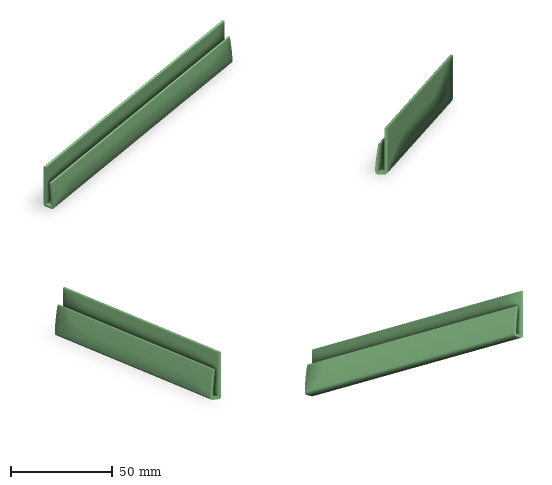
import cadquery as cq
import math

width = 6.1
length = 152.4
height = 24.1
wall = 1.4
corner_radius = 1.4

lip_height = 15.7
curl_start_height = 3.8
curl_middle_height = 9.8
curl_middle_inset = 0.62
curl_middle_thickness = 1.26
curl_end_inset = 1.48
curl_end_thickness = 1.0
tip_lean_degrees = 10.0

left = -width / 2
right = width / 2
bottom = -height / 2
top = height / 2
floor = bottom + wall

wall_tip_radius = wall / 2
lip_tip_radius = curl_end_thickness / 2

curl_start_z = bottom + curl_start_height
curl_middle_z = bottom + curl_middle_height
middle_outer_x = right - curl_middle_inset
middle_inner_x = middle_outer_x - curl_middle_thickness

tip_lean = math.radians(tip_lean_degrees)
tip_shift_x = lip_tip_radius * math.cos(tip_lean)
tip_shift_z = lip_tip_radius * math.sin(tip_lean)
tip_center_x = right - curl_end_inset - tip_shift_x
tip_center_z = bottom + lip_height - lip_tip_radius
tip_outer = (tip_center_x + tip_shift_x, tip_center_z + tip_shift_z)
tip_inner = (tip_center_x - tip_shift_x, tip_center_z - tip_shift_z)


def clip_profile():
    """J-shaped section with a tall back wall and a tapering, curled front lip."""
    return (
        cq.Workplane("XZ", origin=(0, length / 2, 0))
        .moveTo(left, bottom)
        .lineTo(right, bottom)
        .lineTo(right, curl_start_z)
        .threePointArc((middle_outer_x, curl_middle_z), tip_outer)
        .threePointArc((tip_center_x, bottom + lip_height), tip_inner)
        .threePointArc((middle_inner_x, curl_middle_z), (right - wall, curl_start_z))
        .lineTo(right - wall, floor)
        .lineTo(left + wall, floor)
        .lineTo(left + wall, top - wall_tip_radius)
        .threePointArc((left + wall_tip_radius, top), (left, top - wall_tip_radius))
        .close()
    )


strip = clip_profile().extrude(length)

result = strip.faces("<Z").edges("|Y").fillet(corner_radius)